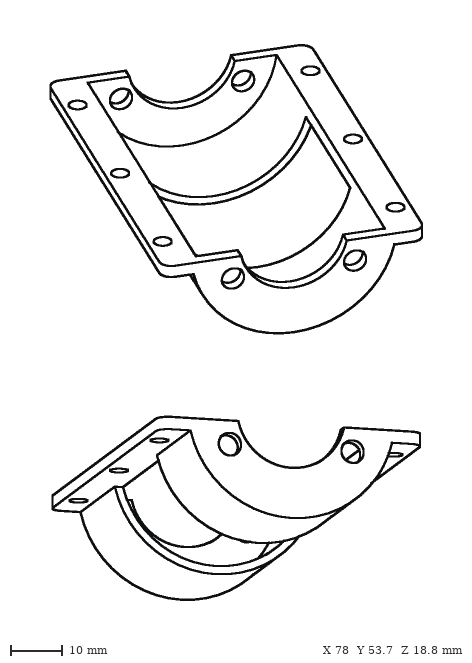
import cadquery as cq

length = 78.0
flange_width = 53.7
depth = 18.8
flange_thickness = 2.5
corner_radius = 2.5

axis_height = 2.3
outer_radius = depth + axis_height
wall = 1.6
inner_radius = outer_radius - wall
bore_radius = 11.0
end_wall = 2.5

window_length = 29.8
window_center_x = -0.3

flange_hole_diameter = 3.5
flange_hole_pitch = 28.7
flange_hole_y = 23.8
flange_hole_shift = 0.2

end_hole_diameter = 4.5
end_hole_y = 12.5
end_hole_depth = 4.75


def cylinder_along_x(radius, cylinder_length, y=0, z=axis_height):
    """Cylinder parallel to X, centred on x = 0."""
    return (
        cq.Workplane("YZ", origin=(0, y, z))
        .circle(radius)
        .extrude(cylinder_length / 2, both=True)
    )


def make_flange():
    return (
        cq.Workplane("XY", origin=(0, 0, -flange_thickness))
        .rect(length, flange_width)
        .extrude(flange_thickness)
        .edges("|Z")
        .fillet(corner_radius)
    )


def make_shell():
    """Part of the outer cylinder lying below the top face."""
    below_top = cq.Workplane("XY").rect(length, flange_width).extrude(-2 * depth)
    return cylinder_along_x(outer_radius, length).intersect(below_top)


def make_window():
    return (
        cq.Workplane("XY", origin=(window_center_x, 0, -flange_thickness))
        .rect(window_length, flange_width)
        .extrude(-depth)
    )


def make_flange_holes():
    centers = [
        (flange_hole_shift + column * flange_hole_pitch, side * flange_hole_y)
        for column in (-1, 0, 1)
        for side in (-1, 1)
    ]
    return (
        cq.Workplane("XY")
        .pushPoints(centers)
        .circle(flange_hole_diameter / 2)
        .extrude(-flange_thickness)
    )


body = make_flange().union(make_shell())
body = body.cut(cylinder_along_x(inner_radius, length - 2 * end_wall))
body = body.cut(cylinder_along_x(bore_radius, length))
body = body.cut(make_window())
body = body.cut(make_flange_holes())
for side in (-1, 1):
    end_hole = cylinder_along_x(end_hole_diameter / 2, length, side * end_hole_y, -end_hole_depth)
    body = body.cut(end_hole)

result = body